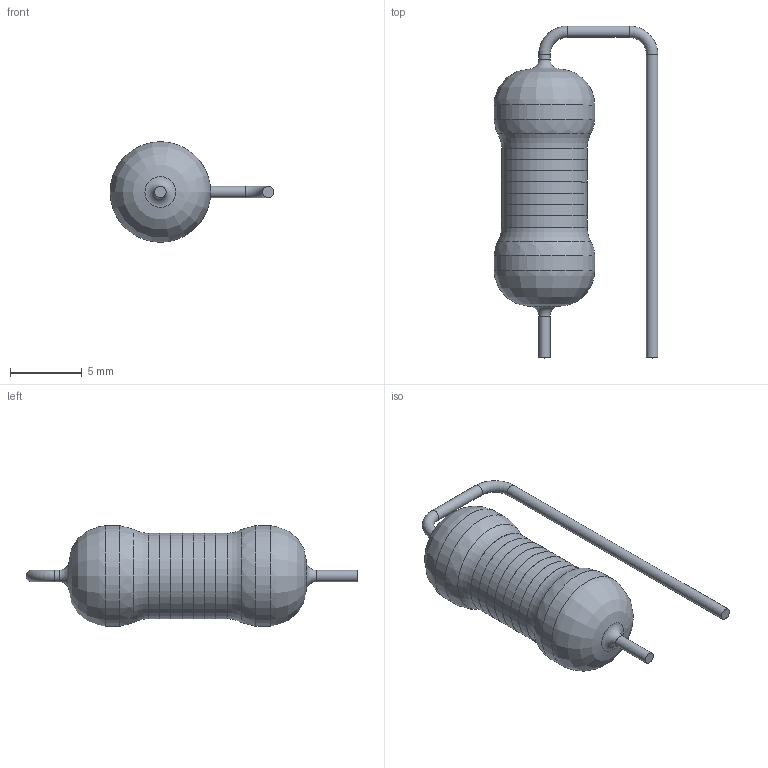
import cadquery as cq
import math


lead_radius = 0.4
lead_pitch = 7.5
short_lead_length = 3.6
bend_radius = 1.6
bend_start_height = 1.0

body_length = 16.5
cap_radius = 3.5
dome_radius = 2.5
cap_straight_length = 1.0
shoulder_length = 2.0
flare_radius = 0.7

band_radius = 5.97 / 2
coat_radius = 5.95 / 2
segment_count = 7

end_flat_radius = cap_radius - dome_radius
waist_start = dome_radius + cap_straight_length + shoulder_length
segment_length = (body_length - 2 * waist_start) / segment_count

flare_center_x = lead_radius + flare_radius
center_distance = dome_radius + flare_radius
center_offset_x = flare_center_x - end_flat_radius
flare_height = math.sqrt(center_distance**2 - center_offset_x**2) - dome_radius
flare_end_x = end_flat_radius + center_offset_x * dome_radius / center_distance
flare_end_y = dome_radius - (flare_height + dome_radius) * dome_radius / center_distance


def circle_point(center, radius, angle):
    """Point on a circle at the given angle in radians."""
    return (center[0] + radius * math.cos(angle), center[1] + radius * math.sin(angle))


def lower_cap():
    """Lower cap with its flare and shoulder, from lead to waist."""
    half_drop = (cap_radius - coat_radius) / 2
    shoulder_half = shoulder_length / 2
    shoulder_radius = (shoulder_half**2 + half_drop**2) / (2 * half_drop)
    shoulder_mid_angle = math.asin(shoulder_half / shoulder_radius) / 2
    shoulder_start = dome_radius + cap_straight_length

    dome_start_angle = math.atan2(flare_end_y - dome_radius, flare_end_x - end_flat_radius)
    flare_sweep = -dome_start_angle
    flare_mid = circle_point((flare_center_x, -flare_height), flare_radius, math.pi - flare_sweep / 2)
    dome_mid = circle_point((end_flat_radius, dome_radius), dome_radius, dome_start_angle / 2)
    outer_mid = circle_point(
        (cap_radius - shoulder_radius, shoulder_start), shoulder_radius, shoulder_mid_angle
    )
    inner_mid = circle_point(
        (coat_radius + shoulder_radius, waist_start), shoulder_radius, math.pi + shoulder_mid_angle
    )
    profile = (
        cq.Workplane("XY")
        .moveTo(0, -flare_height)
        .lineTo(lead_radius, -flare_height)
        .threePointArc(flare_mid, (flare_end_x, flare_end_y))
        .threePointArc(dome_mid, (cap_radius, dome_radius))
        .lineTo(cap_radius, shoulder_start)
        .threePointArc(outer_mid, (cap_radius - half_drop, shoulder_start + shoulder_half))
        .threePointArc(inner_mid, (coat_radius, waist_start))
        .lineTo(0, waist_start)
        .close()
    )
    return profile.revolve(360, (0, 0, 0), (0, 1, 0))


def cylinder_along_y(radius, start_y, end_y):
    """Round bar on the body axis."""
    plane = cq.Plane(origin=(0, start_y, 0), xDir=(1, 0, 0), normal=(0, 1, 0))
    return cq.Workplane(plane).circle(radius).extrude(end_y - start_y)


def waist():
    """Alternating bands and coat, starting and ending with a band."""
    stack = cylinder_along_y(coat_radius, waist_start, body_length - waist_start)
    for index in range(0, segment_count, 2):
        start_y = waist_start + index * segment_length
        stack = stack.union(cylinder_along_y(band_radius, start_y, start_y + segment_length))
    return stack


def return_lead():
    """Lead from the upper flare over two bends and back down beside the body."""
    start_y = body_length + flare_height
    bend_y = body_length + bend_start_height
    top_y = bend_y + bend_radius
    far_bend_x = lead_pitch - bend_radius
    near_mid = circle_point((bend_radius, bend_y), bend_radius, math.radians(135))
    far_mid = circle_point((far_bend_x, bend_y), bend_radius, math.radians(45))
    path = (
        cq.Workplane("XY")
        .moveTo(0, start_y)
        .lineTo(0, bend_y)
        .threePointArc(near_mid, (bend_radius, top_y))
        .lineTo(far_bend_x, top_y)
        .threePointArc(far_mid, (lead_pitch, bend_y))
        .lineTo(lead_pitch, -short_lead_length)
    )
    plane = cq.Plane(origin=(0, start_y, 0), xDir=(1, 0, 0), normal=(0, 1, 0))
    return cq.Workplane(plane).circle(lead_radius).sweep(path)


cap = lower_cap()
body_middle = body_length / 2
upper_cap = cap.mirror("XZ", (0, body_middle, 0))
short_lead = cylinder_along_y(lead_radius, -short_lead_length, -flare_height)

result = cap.union(waist()).union(upper_cap).union(short_lead).union(return_lead())